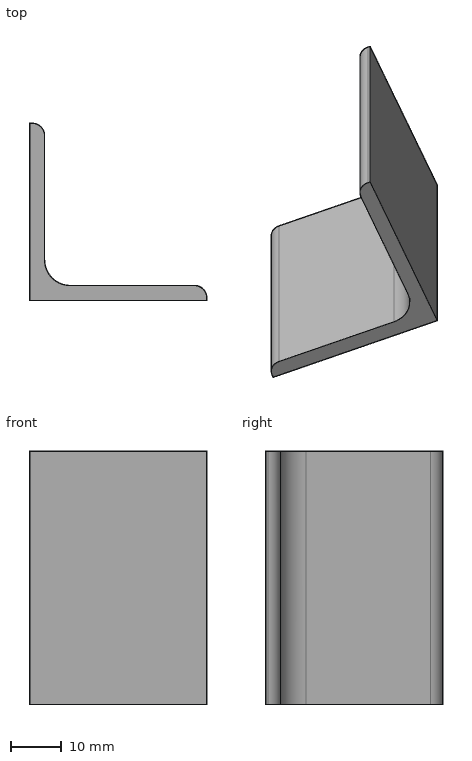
import cadquery as cq

leg_length = 35.0
leg_thickness = 3.0
bar_length = 50.0
root_radius = 5.0
toe_radius = 2.5


def angle_bar():
    """Sharp-cornered L with its outer corner on the Z axis."""
    return (
        cq.Workplane("XY")
        .moveTo(0, 0)
        .lineTo(leg_length, 0)
        .lineTo(leg_length, leg_thickness)
        .lineTo(leg_thickness, leg_thickness)
        .lineTo(leg_thickness, leg_length)
        .lineTo(0, leg_length)
        .close()
        .extrude(bar_length)
    )


def fillet_upright_edge(body, x, y, radius):
    """Fillet the edge parallel to Z that passes through (x, y)."""
    edge = cq.selectors.NearestToPointSelector((x, y, bar_length / 2))
    return body.edges("|Z").edges(edge).fillet(radius)


result = angle_bar()
result = fillet_upright_edge(result, leg_thickness, leg_thickness, root_radius)
result = fillet_upright_edge(result, leg_length, leg_thickness, toe_radius)
result = fillet_upright_edge(result, leg_thickness, leg_length, toe_radius)